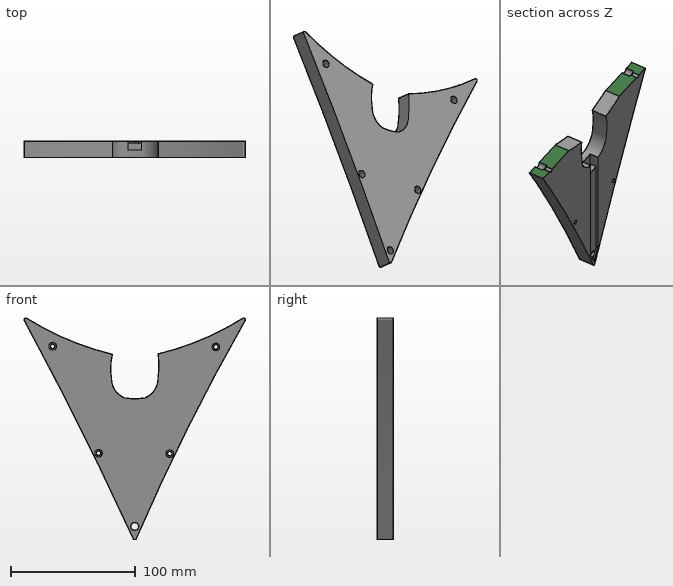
import cadquery as cq
import math

width = 177.7
height = 178.0
thickness = 13.2

tip_radius = 1.5
side_normal = 28.0
top_normal = 63.0

left_side_bow = 1.6
right_side_bow = 2.7
top_edge_bow = 3.0

mouth_left_corner = (-17.8, 148.8)
mouth_right_corner = (18.7, 149.2)
mouth_wall_middle = (19.2, 138.0)
mouth_wall_foot = (18.5, 129.2)
mouth_bend_middle = (15.5, 119.6)
mouth_bend_foot = (8.2, 114.0)
mouth_floor = (0.0, 113.2)

screw_positions = [(-65.9, 155.2), (65.2, 154.7), (-29.0, 69.5), (28.1, 69.0)]
screw_diameter = 3.4
counterbore_diameter = 6.0
counterbore_depth = 7.1
tip_hole_diameter = 6.0
tip_hole_height = 10.7

notch_width = 11.2
notch_depth = 7.3
notch_floor_drop = 10.7

groove_depth = 1.6
groove_point_height = 4.5


def mirrored(point):
    return (-point[0], point[1])


def on_tip(center, angle):
    """Point on a tip circle at the given angle in degrees."""
    turn = math.radians(angle)
    return (center[0] + tip_radius * math.cos(turn), center[1] + tip_radius * math.sin(turn))


def at_front():
    """XZ sketch plane on the front face, facing -Y; negative extrusion runs into the plate."""
    return cq.Workplane(cq.Plane(origin=(0, 0, 0), xDir=(1, 0, 0), normal=(0, -1, 0)))


def make_plate():
    right_tip = (width / 2 - tip_radius, height - tip_radius)
    left_tip = mirrored(right_tip)
    lower_tip = (0, tip_radius)
    outline = (
        at_front()
        .moveTo(*on_tip(lower_tip, 180 + side_normal))
        .threePointArc(on_tip(lower_tip, 270), on_tip(lower_tip, -side_normal))
        .sagittaArc(on_tip(right_tip, -side_normal), right_side_bow)
        .threePointArc(on_tip(right_tip, 45), on_tip(right_tip, 180 - top_normal))
        .sagittaArc(mouth_right_corner, top_edge_bow)
        .threePointArc(mouth_wall_middle, mouth_wall_foot)
        .threePointArc(mouth_bend_middle, mouth_bend_foot)
        .threePointArc(mouth_floor, mirrored(mouth_bend_foot))
        .threePointArc(mirrored(mouth_bend_middle), mirrored(mouth_wall_foot))
        .threePointArc(mirrored(mouth_wall_middle), mouth_left_corner)
        .sagittaArc(on_tip(left_tip, top_normal), top_edge_bow)
        .threePointArc(on_tip(left_tip, 135), on_tip(left_tip, 180 + side_normal))
        .sagittaArc(on_tip(lower_tip, 180 + side_normal), left_side_bow)
        .close()
    )
    return outline.extrude(-thickness)


def make_holes():
    screws = at_front().pushPoints(screw_positions).circle(screw_diameter / 2).extrude(-thickness)
    counterbores = (
        at_front().pushPoints(screw_positions).circle(counterbore_diameter / 2).extrude(-counterbore_depth)
    )
    tip_hole = at_front().center(0, tip_hole_height).circle(tip_hole_diameter / 2).extrude(-thickness)
    return screws.union(counterbores).union(tip_hole)


def make_notch():
    notch_top = mouth_bend_foot[1]
    notch_bottom = mouth_floor[1] - notch_floor_drop
    return (
        at_front()
        .workplane(offset=-thickness)
        .center(0, (notch_top + notch_bottom) / 2)
        .rect(notch_width, notch_top - notch_bottom)
        .extrude(notch_depth)
    )


def make_groove():
    half_width = notch_width / 2
    shoulder = groove_point_height + half_width / math.tan(math.radians(side_normal))
    top = mouth_floor[1]
    outline = [
        (0, groove_point_height),
        (half_width, shoulder),
        (half_width, top),
        (-half_width, top),
        (-half_width, shoulder),
    ]
    return at_front().workplane(offset=-thickness).polyline(outline).close().extrude(groove_depth)


result = make_plate().cut(make_holes()).cut(make_notch()).cut(make_groove())